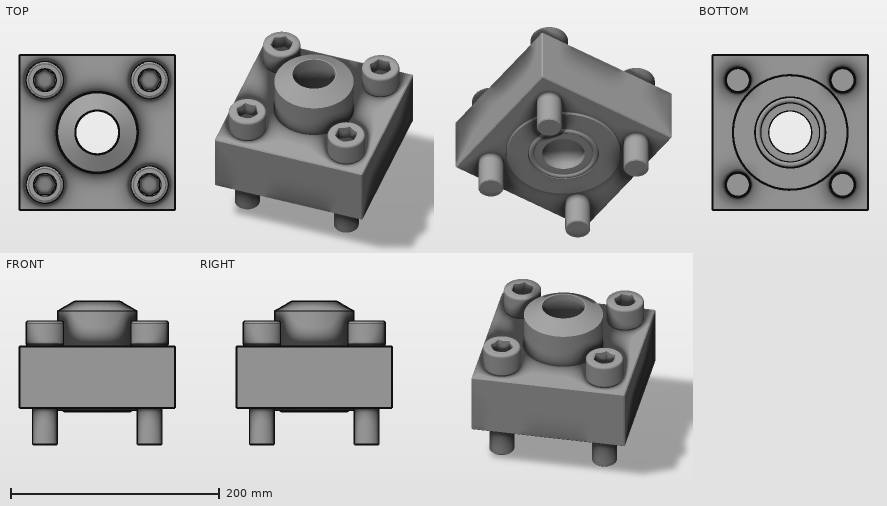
import cadquery as cq
import math

block_side = 150.0
block_height = 60.0
block_chamfer = 1.0
neck_hole_dia = 77.0
neck_hole_chamfer = 1.0
recess_dia = 111.0
recess_depth = 25.0
bolt_hole_dia = 25.0

bolt_circle_dia = 142.0
bolt_spacing = bolt_circle_dia / math.sqrt(2)
bolt_count = 4
shank_dia = 24.0
shank_length = 95.0
shank_chamfer = 1.0
head_dia = 36.0
head_height = 24.0
head_top_fillet = 2.4
head_base_taper_width = 0.8
head_base_taper_height = 2.0
socket_flats = 19.0
socket_corners = socket_flats / math.cos(math.radians(30))
socket_depth = 14.0
socket_cone_angle = 30.0

neck_dia = 76.1
bore_dia = 41.0
neck_bore_dia = 41.1
neck_bore_depth = 22.4
neck_land = 1.0
neck_bevel_angle = 30.0
collar_dia = 110.0
collar_chamfer = 0.5
collar_protrusion = 2.0

seal_inner_dia = 56.52
seal_cord_dia = 5.33
groove_outer_dia = 68.25
groove_depth = 4.0

total_height = 138.0
block_top = shank_length
block_bottom = block_top - block_height
collar_bottom = block_bottom - collar_protrusion
collar_top = block_bottom + recess_depth
head_top = block_top + head_height


def disc(diameter, bottom, top):
    """Vertical cylinder on the central axis."""
    return cq.Workplane("XY").workplane(offset=bottom).circle(diameter / 2).extrude(top - bottom)


def make_block():
    block = (
        cq.Workplane("XY")
        .workplane(offset=block_bottom)
        .rect(block_side, block_side)
        .extrude(block_height)
        .edges()
        .chamfer(block_chamfer)
    )
    block = block.cut(disc(neck_hole_dia, block_bottom, block_top))
    block = block.faces(">Z").edges("%CIRCLE").chamfer(neck_hole_chamfer)
    block = block.cut(disc(recess_dia, block_bottom, collar_top))
    bolt_holes = (
        cq.Workplane("XY")
        .workplane(offset=block_bottom)
        .rect(bolt_spacing, bolt_spacing, forConstruction=True)
        .vertices()
        .circle(bolt_hole_dia / 2)
        .extrude(block_height)
    )
    return block.cut(bolt_holes)


def make_weld_neck():
    """Tube with a bevelled welding end and a collar held in the block recess."""
    land_radius = neck_bore_dia / 2 + neck_land
    bevel_height = (neck_dia / 2 - land_radius) * math.tan(math.radians(neck_bevel_angle))
    bore_step = total_height - neck_bore_depth
    profile = [
        (bore_dia / 2, collar_bottom),
        (collar_dia / 2 - collar_chamfer, collar_bottom),
        (collar_dia / 2, collar_bottom + collar_chamfer),
        (collar_dia / 2, collar_top),
        (neck_dia / 2, collar_top),
        (neck_dia / 2, total_height - bevel_height),
        (land_radius, total_height),
        (neck_bore_dia / 2, total_height),
        (neck_bore_dia / 2, bore_step),
        (bore_dia / 2, bore_step),
    ]
    neck = cq.Workplane("XZ").polyline(profile).close().revolve(360, (0, 0, 0), (0, 1, 0))
    groove = (
        cq.Workplane("XY")
        .workplane(offset=collar_bottom)
        .circle(groove_outer_dia / 2)
        .circle(seal_inner_dia / 2)
        .extrude(groove_depth)
    )
    return neck.cut(groove)


def make_seal_ring():
    """Round-cord ring resting on the groove floor."""
    cord_radius = seal_cord_dia / 2
    cord_centre_radius = seal_inner_dia / 2 + cord_radius
    cord_centre_height = collar_bottom + groove_depth - cord_radius
    return (
        cq.Workplane("XZ")
        .center(cord_centre_radius, cord_centre_height)
        .circle(cord_radius)
        .revolve(360, (-cord_centre_radius, 0, 0), (-cord_centre_radius, 1, 0))
    )


def make_bolt():
    """Socket head bolt on the central axis, with two socket corners along X."""
    head_radius = head_dia / 2
    shank_radius = shank_dia / 2
    fillet_mid = head_top_fillet * (1 - math.sqrt(0.5))
    bolt = (
        cq.Workplane("XZ")
        .moveTo(0, 0)
        .lineTo(shank_radius - shank_chamfer, 0)
        .lineTo(shank_radius, shank_chamfer)
        .lineTo(shank_radius, block_top)
        .lineTo(head_radius - head_base_taper_width, block_top)
        .lineTo(head_radius, block_top + head_base_taper_height)
        .lineTo(head_radius, head_top - head_top_fillet)
        .threePointArc(
            (head_radius - fillet_mid, head_top - fillet_mid),
            (head_radius - head_top_fillet, head_top),
        )
        .lineTo(0, head_top)
        .close()
        .revolve(360, (0, 0, 0), (0, 1, 0))
    )
    socket = (
        cq.Workplane("XY")
        .workplane(offset=head_top - socket_depth)
        .polygon(6, socket_corners)
        .extrude(socket_depth)
    )
    cone_depth = socket_corners / 2 * math.tan(math.radians(socket_cone_angle))
    countersink = (
        cq.Workplane("XZ")
        .polyline([(0, head_top - cone_depth), (socket_corners / 2, head_top), (0, head_top)])
        .close()
        .revolve(360, (0, 0, 0), (0, 1, 0))
    )
    return bolt.cut(socket).cut(countersink)


def place_bolts():
    """Copies of the bolt turned about the central axis, starting at the -X, -Y corner."""
    corner_bolt = make_bolt().translate((-bolt_spacing / 2, -bolt_spacing / 2, 0))
    step_angle = 360 / bolt_count
    return [
        corner_bolt.rotate((0, 0, 0), (0, 0, 1), index * step_angle)
        for index in range(bolt_count)
    ]


block = make_block()
weld_neck = make_weld_neck()
seal_ring = make_seal_ring()
bolts = place_bolts()

result = cq.Compound.makeCompound(
    [block.val(), weld_neck.val(), seal_ring.val(), *[bolt.val() for bolt in bolts]]
)